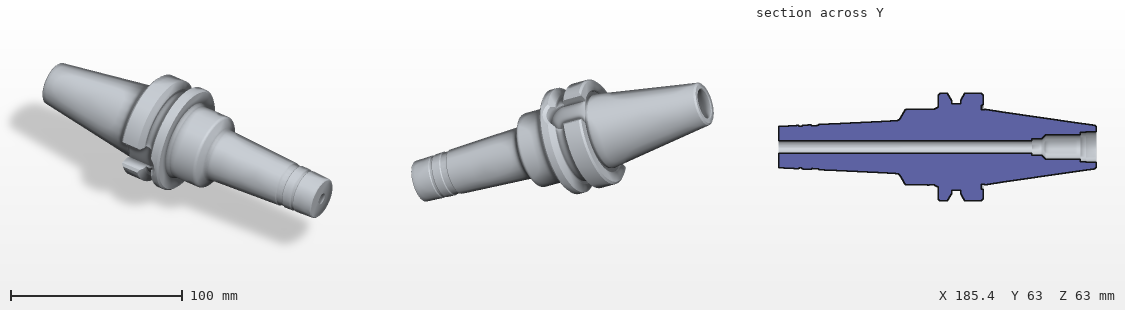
import cadquery as cq
import math

length = 185.4

gauge_diameter = 44.5
gauge_length = 65.5
taper_ratio = 7 / 24
small_end_diameter = gauge_diameter - gauge_length * taper_ratio
shank_edge = 1.0

flange_diameter = 63.0
flange_start = 66.0
flange_end = 92.3
flange_edge = 1.1
groove_diameter = 50.8
groove_bevel_start = 77.0
groove_start = 79.4
groove_end = 84.4
groove_bevel_end = 87.0
groove_rim_diameter = 54.3

relief_diameter = 44.0
recess_diameter = 48.5
recess_floor = 67.0
recess_chamfer = 0.5

collar_diameter = gauge_diameter
collar_root_bevel = 2.2
root_bevel_rise = 1.3
collar_end = 111.5
collar_slope_angle = 60.0
shoulder_fillet = 2.0

nose_start = 115.0
nose_base_diameter = 31.3
nose_tip_diameter = 24.5
nose_edge = 0.5
ring_grooves = [(161.7, 166.5), (171.3, 173.7)]
ring_groove_depth = 0.5
ring_groove_bevel = 0.5

slot_width = 16.1
slot_floor = 22.5
slot_round_center = 80.1
slot_bevel = 1.7

entry_diameter = 18.5
mouth_diameter = 17.6
entry_chamfer = (entry_diameter - mouth_diameter) / 2
mouth_depth = 6.1
counterbore_diameter = 17.0
counterbore_depth = 9.3
thread_diameter = 13.9
thread_depth = 29.7
cone_end_diameter = 9.3
cone_depth = (thread_diameter - cone_end_diameter) / 2
neck_depth = 5.5
through_diameter = 6.9


def revolve(points):
    """Revolve (x, radius) points about the X axis."""
    return cq.Workplane("XY").polyline(points).close().revolve(360, (0, 0, 0), (1, 0, 0))


def nose_radius(x):
    """Radius of the tapered nose at x."""
    share = (x - nose_start) / (length - nose_start)
    return (nose_base_diameter + share * (nose_tip_diameter - nose_base_diameter)) / 2


def make_shank():
    return revolve([
        (0, 0),
        (0, small_end_diameter / 2 - shank_edge),
        (shank_edge, small_end_diameter / 2 + shank_edge * taper_ratio / 2),
        (gauge_length, gauge_diameter / 2),
        (gauge_length, relief_diameter / 2),
        (recess_floor, relief_diameter / 2),
        (recess_floor, 0),
    ])


def make_flange():
    rim = flange_diameter / 2
    recess = recess_diameter / 2
    return revolve([
        (recess_floor, 0),
        (recess_floor, recess),
        (flange_start + recess_chamfer, recess),
        (flange_start, recess + recess_chamfer),
        (flange_start, rim - flange_edge),
        (flange_start + flange_edge, rim),
        (groove_bevel_start, rim),
        (groove_start, groove_rim_diameter / 2),
        (groove_start, groove_diameter / 2),
        (groove_end, groove_diameter / 2),
        (groove_end, groove_rim_diameter / 2),
        (groove_bevel_end, rim),
        (flange_end - flange_edge, rim),
        (flange_end, rim - flange_edge),
        (flange_end, 0),
    ])


def make_collar_and_nose():
    radius = collar_diameter / 2
    root_end = flange_end + collar_root_bevel
    slope_length = (radius - nose_radius(nose_start)) / math.tan(math.radians(collar_slope_angle))
    slope_end = collar_end + slope_length
    solid = revolve([
        (flange_end, 0),
        (flange_end, radius + root_bevel_rise),
        (root_end, radius),
        (collar_end, radius),
        (slope_end, nose_radius(slope_end)),
        (length - nose_edge, nose_radius(length - nose_edge)),
        (length, nose_radius(length) - nose_edge),
        (length, 0),
    ])
    margin = 0.2
    shoulder = cq.selectors.BoxSelector(
        (collar_end - margin, -radius, -radius), (slope_end + margin, radius, radius)
    )
    return solid.edges(shoulder).edges("%CIRCLE").fillet(shoulder_fillet)


def make_ring_groove(start, end):
    outside = nose_base_diameter / 2
    floor_start = start + ring_groove_bevel
    floor_end = end - ring_groove_bevel
    return revolve([
        (start, outside),
        (start, nose_radius(start)),
        (floor_start, nose_radius(floor_start) - ring_groove_depth),
        (floor_end, nose_radius(floor_end) - ring_groove_depth),
        (end, nose_radius(end)),
        (end, outside),
    ])


def make_slots():
    """Cutter for both round-ended slots, bevelled where they meet the flange rim."""
    half = slot_width / 2
    rim = flange_diameter / 2
    front = gauge_length
    blank = cq.Workplane("YZ", origin=(front, 0, 0)).circle(rim).extrude(flange_end - front)
    profile = (
        cq.Workplane("XZ", origin=(0, -slot_floor, 0))
        .moveTo(front, -half)
        .lineTo(slot_round_center, -half)
        .threePointArc((slot_round_center + half, 0), (slot_round_center, half))
        .lineTo(front, half)
        .close()
        .extrude(rim - slot_floor)
    )
    slotted = blank.cut(profile).cut(profile.mirror("XZ"))

    margin = 0.2
    bevelled = slotted
    for side in (-1, 1):
        rim_zone = cq.selectors.BoxSelector(
            (front + margin, side * (slot_floor + margin), -rim),
            (flange_end - margin, side * (rim + margin), rim),
        )
        bevelled = bevelled.edges(rim_zone).edges("not |Y").chamfer(slot_bevel)
    return blank.cut(bevelled)


def make_bore():
    thread_end = thread_depth + cone_depth
    neck_end = thread_end + neck_depth
    return revolve([
        (0, 0),
        (0, entry_diameter / 2),
        (entry_chamfer, mouth_diameter / 2),
        (mouth_depth, mouth_diameter / 2),
        (mouth_depth, counterbore_diameter / 2),
        (counterbore_depth, counterbore_diameter / 2),
        (counterbore_depth, thread_diameter / 2),
        (thread_depth, thread_diameter / 2),
        (thread_end, cone_end_diameter / 2),
        (neck_end, cone_end_diameter / 2),
        (neck_end, through_diameter / 2),
        (length, through_diameter / 2),
        (length, 0),
    ])


body = make_shank().union(make_flange()).union(make_collar_and_nose())
for groove_span in ring_grooves:
    body = body.cut(make_ring_groove(*groove_span))
result = body.cut(make_slots()).cut(make_bore())